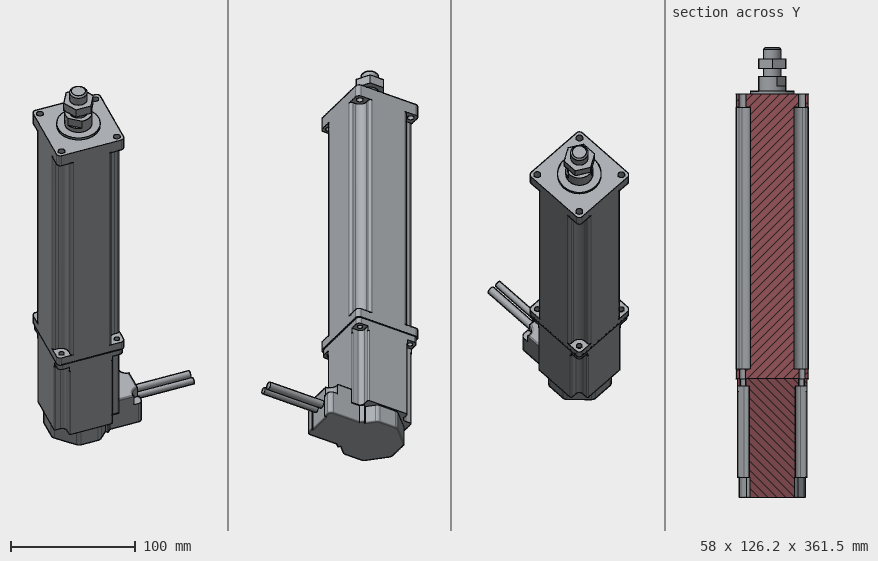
import cadquery as cq
import math

CAP_TOP = 16.3
ROUNDED_LIP_TOP = 85.3
MOTOR_GROOVE_TOP = 89.5
MOTOR_TOP = 95.5
HOUSING_GROOVE_BOTTOM = 103.5
HOUSING_GROOVE_TOP = 313.5
HOUSING_TOP = 324.3
COLLAR_TOP = 326.5
FLATS_BOTTOM = 330.8
SHOULDER_TOP = 338.5
NUT_BOTTOM = 344.5
NUT_TOP = 352.5
ROD_TOP = 361.5

HOUSING_WIDTH = 58.0
HOUSING_GROOVE = 11.2
HOUSING_GROOVE_RADIUS = 6.5
HOUSING_GROOVE_LIP = 2.0
CORNER_RADIUS = 3.3
COLLAR_DIAMETER = 35.0
TOP_HOLE_DIAMETER = 5.5
BOTTOM_HOLE_DIAMETER = 4.5
HOUSING_HOLE_OFFSET = 24.0

MOTOR_WIDTH = 56.0
MOTOR_GROOVE = 9.5
MOTOR_GROOVE_RADIUS = 4.0
MOTOR_GROOVE_LIP = 1.0
MOTOR_HOLE_DIAMETER = 4.5
MOTOR_HOLE_OFFSET = 23.5

CAP_WIDTH = 53.0
CAP_FRONT_CHAMFER = 16.5
CAP_BACK_CHAMFER = 18.0
CAP_CORNER_RADIUS = 4.7
BOTTOM_RIM_RADIUS = 0.7

BOX_WIDTH = 35.8
BOX_END = 47.5
BOX_TOP = 30.5
BOX_TOP_RADIUS = 1.0
ROOT_STEP = 1.63
ROOT_INNER_Y = 16.0
POST_TOP = 20.5
POST_WIDTH = 8.0
POST_END = 48.5
POST_RADIUS = 3.5
SCREW_RELIEF_RADIUS = 6.5
SCREW_RELIEF_INSET = 1.8

CABLES = [(6.5, -3.5), (5.5, 4.5)]
CABLE_HEIGHT = 16.3
CABLE_END = 97.2

ROD_DIAMETER = 22.0
ROD_ACROSS_FLATS = 18.8
FLATS_ANGLE = -38
THREAD_DIAMETER = 14.0
THREAD_CHAMFER = 1.5
NUT_ACROSS_FLATS = 22.0
NUT_SIDES = 6
NUT_ANGLE = 90


def block(width, bottom, top):
    """Square block centred on the Z axis."""
    return cq.Workplane("XY").workplane(offset=bottom).rect(width, width).extrude(top - bottom)


def notched_block(width, depth, root_radius, bottom, top):
    """Square block with a notch, rounded at its root, along each vertical edge."""
    half = width / 2
    notch = block(2 * depth, bottom, top).edges("|Z").fillet(root_radius)
    body = block(width, bottom, top)
    for x in (-half, half):
        for y in (-half, half):
            body = body.cut(notch.translate((x, y, 0)))
    return body


def grooved_block(width, depth, root_radius, lip_radius, bottom, top):
    """Notched block whose notches also have rounded outer edges."""
    body = notched_block(width, depth, root_radius, bottom, top)
    half = width / 2
    wall = half - depth
    middle = (bottom + top) / 2
    for x, y in ((half, wall), (wall, half)):
        for sign_x in (-1, 1):
            for sign_y in (-1, 1):
                lip = cq.selectors.NearestToPointSelector((sign_x * x, sign_y * y, middle))
                body = body.edges(lip).fillet(lip_radius)
    return body


def corner_holes(offset, diameter, bottom, top):
    """Four vertical pins that cut a square pattern of holes."""
    pattern = cq.Workplane("XY").workplane(offset=bottom).rect(2 * offset, 2 * offset, forConstruction=True)
    return pattern.vertices().circle(diameter / 2).extrude(top - bottom)


def make_housing():
    """Long square body: two end flanges, a grooved length between them and a collar on top."""
    body = grooved_block(
        HOUSING_WIDTH, HOUSING_GROOVE, HOUSING_GROOVE_RADIUS, HOUSING_GROOVE_LIP,
        HOUSING_GROOVE_BOTTOM, HOUSING_GROOVE_TOP,
    )
    for bottom, top, hole_diameter in (
        (MOTOR_TOP, HOUSING_GROOVE_BOTTOM, BOTTOM_HOLE_DIAMETER),
        (HOUSING_GROOVE_TOP, HOUSING_TOP, TOP_HOLE_DIAMETER),
    ):
        flange = block(HOUSING_WIDTH, bottom, top).edges("|Z").fillet(CORNER_RADIUS)
        body = body.union(flange.cut(corner_holes(HOUSING_HOLE_OFFSET, hole_diameter, bottom, top)))
    collar = cq.Workplane("XY").workplane(offset=HOUSING_TOP).circle(COLLAR_DIAMETER / 2)
    return body.union(collar.extrude(COLLAR_TOP - HOUSING_TOP))


def make_motor_frame():
    """Square motor with a plain mounting flange on top and grooved corners below it."""
    flange = block(MOTOR_WIDTH, MOTOR_GROOVE_TOP, MOTOR_TOP).edges("|Z").fillet(CORNER_RADIUS)
    flange = flange.cut(corner_holes(MOTOR_HOLE_OFFSET, MOTOR_HOLE_DIAMETER, MOTOR_GROOVE_TOP, MOTOR_TOP))
    sharp = notched_block(
        MOTOR_WIDTH, MOTOR_GROOVE, MOTOR_GROOVE_RADIUS, ROUNDED_LIP_TOP, MOTOR_GROOVE_TOP
    )
    rounded = grooved_block(
        MOTOR_WIDTH, MOTOR_GROOVE, MOTOR_GROOVE_RADIUS, MOTOR_GROOVE_LIP, CAP_TOP, ROUNDED_LIP_TOP
    )
    return flange.union(sharp).union(rounded)


def make_cap():
    """Square end cap with large rounded-off corner chamfers."""
    cap = block(CAP_WIDTH, 0, CAP_TOP)
    cap = cap.edges("|Z and <Y").chamfer(CAP_FRONT_CHAMFER)
    cap = cap.edges("|Z and >Y").chamfer(CAP_BACK_CHAMFER)
    return cap.edges("|Z").fillet(CAP_CORNER_RADIUS)


def make_connector_box():
    """Cable outlet: a stepped 45 degree root on the cap, a box, and two corner screw posts."""
    side = BOX_WIDTH / 2
    chamfer_sum = CAP_WIDTH - CAP_BACK_CHAMFER
    root_inner_x = chamfer_sum - ROOT_INNER_Y
    root_sum = chamfer_sum + 2 * ROOT_STEP
    right_edge = [
        (root_inner_x - ROOT_INNER_Y, 0),
        (root_inner_x, ROOT_INNER_Y),
        (root_inner_x + ROOT_STEP, ROOT_INNER_Y + ROOT_STEP),
        (side, root_sum - side),
        (side, BOX_END),
    ]
    left_edge = [(-x, y) for x, y in reversed(right_edge)]
    base = cq.Workplane("XY").polyline(right_edge + left_edge).close().extrude(CAP_TOP)

    upper_start = MOTOR_WIDTH / 2
    upper_length = BOX_END - upper_start
    upper = cq.Workplane("XY").box(BOX_WIDTH, upper_length, BOX_TOP, centered=(True, False, False))
    upper = upper.translate((0, upper_start, 0))
    for sign in (-1, 1):
        relief = cq.Workplane("XY").workplane(offset=POST_TOP)
        relief = relief.center(sign * (side - SCREW_RELIEF_INSET), BOX_END).circle(SCREW_RELIEF_RADIUS)
        upper = upper.cut(relief.extrude(BOX_TOP - POST_TOP))
    upper = upper.faces(">Z").edges("not <Y").fillet(BOX_TOP_RADIUS)

    box = base.union(upper)
    for sign in (-1, 1):
        post = cq.Workplane("XY").center(sign * (side - POST_WIDTH / 2), POST_END - POST_WIDTH / 2)
        box = box.union(post.rect(POST_WIDTH, POST_WIDTH).extrude(POST_TOP))
    for sign in (-1, 1):
        corner = cq.selectors.NearestToPointSelector((sign * side, POST_END, POST_TOP / 2))
        box = box.edges(corner).fillet(POST_RADIUS)
    return box


def make_cable(diameter, x):
    """Straight round cable leaving the connector box along +Y."""
    start = cq.Workplane("XZ", origin=(x, BOX_END, CABLE_HEIGHT))
    return start.circle(diameter / 2).extrude(BOX_END - CABLE_END)


def make_motor():
    """Motor frame, end cap, connector box and cables as one body."""
    base = make_cap().union(make_connector_box())
    base = base.faces("<Z").edges().fillet(BOTTOM_RIM_RADIUS)
    motor = make_motor_frame().union(base)
    for diameter, x in CABLES:
        motor = motor.union(make_cable(diameter, x))
    return motor


def make_rod():
    """Output rod with two wrench flats, a threaded end and its lock nut."""
    shoulder = cq.Workplane("XY").workplane(offset=COLLAR_TOP).circle(ROD_DIAMETER / 2)
    shoulder = shoulder.extrude(SHOULDER_TOP - COLLAR_TOP)
    flat_depth = (ROD_DIAMETER - ROD_ACROSS_FLATS) / 2
    for angle in (FLATS_ANGLE, FLATS_ANGLE + 180):
        cutter = cq.Workplane("XY").box(
            flat_depth, ROD_DIAMETER, SHOULDER_TOP - FLATS_BOTTOM, centered=(False, True, False)
        )
        cutter = cutter.translate((ROD_ACROSS_FLATS / 2, 0, FLATS_BOTTOM))
        shoulder = shoulder.cut(cutter.rotate((0, 0, 0), (0, 0, 1), angle))

    thread = cq.Workplane("XY").workplane(offset=SHOULDER_TOP).circle(THREAD_DIAMETER / 2)
    thread = thread.extrude(ROD_TOP - SHOULDER_TOP).faces(">Z").chamfer(THREAD_CHAMFER)

    across_corners = NUT_ACROSS_FLATS / math.cos(math.pi / NUT_SIDES)
    nut = cq.Workplane("XY").workplane(offset=NUT_BOTTOM).polygon(NUT_SIDES, across_corners)
    nut = nut.extrude(NUT_TOP - NUT_BOTTOM).rotate((0, 0, 0), (0, 0, 1), NUT_ANGLE)
    return shoulder.union(thread).union(nut)


housing = make_housing()
motor = make_motor()
rod = make_rod()

result = cq.Compound.makeCompound([*housing.solids().vals(), *motor.solids().vals(), *rod.solids().vals()])